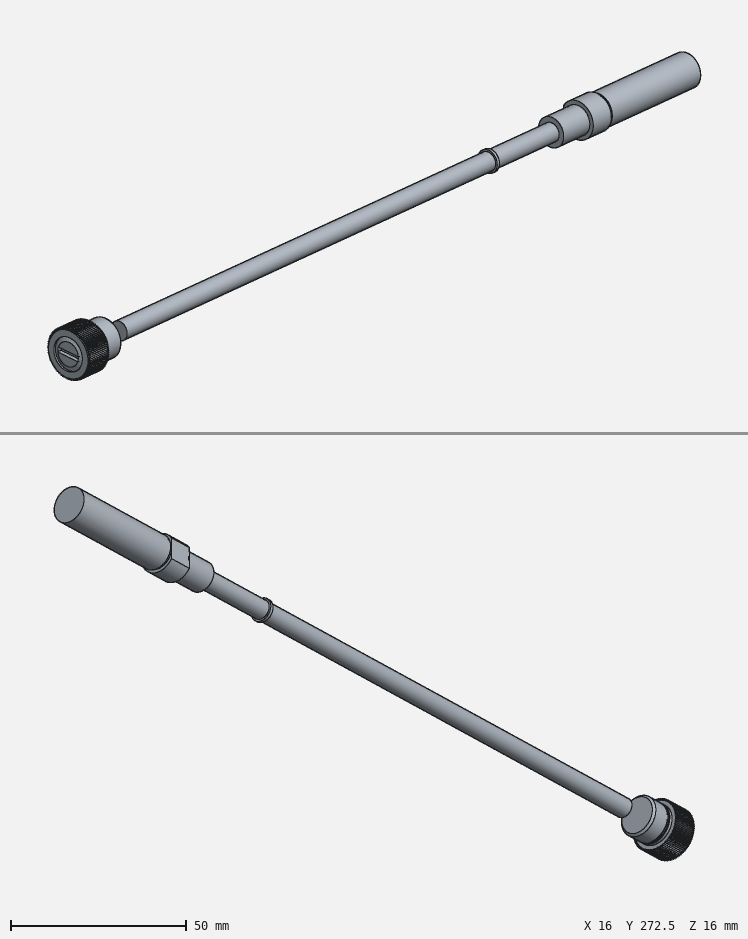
import cadquery as cq
import math

total_length = 272.5

handle_radius = 5.5
handle_length = 39.0
nut_radius = 6.0
nut_length = 8.0
nut_flat_distance = 5.02
nut_neck_radius = 5.0
nut_neck_length = 1.0
sleeve_radius = 4.7
sleeve_length = 11.5

handle_start = total_length - handle_length
nut_neck_start = handle_start - nut_neck_length
nut_start = nut_neck_start - nut_length
sleeve_start = nut_start - sleeve_length

rod_radius = 3.0
rod_start = 22.5
ring_radius = 3.6
ring_width = 1.0
ring_start = 185.0

knob_radius = 8.0
tooth_count = 90
tooth_depth = 0.5
rim_radius = 7.4
rim_length = 0.5
knob_length = 8.5
hub_radius = 6.3
hub_length = 1.0
hub_neck_radius = 6.0
hub_neck_length = 0.8

hub_neck_start = knob_length + hub_length
nose_start = hub_neck_start + hub_neck_length

nose_radius = hub_radius
nose_length = 6.2
nose_chamfer = 0.7

insert_radius = 5.3
insert_length = 3.0
insert_face_radius = 3.8
insert_bevel_depth = 0.7
slot_width = 1.6
slot_depth = 1.5
slot_tilt = 8.0
slot_length = 2 * insert_face_radius


def plane_at(y):
    """Plane across the axis at y, facing +Y, with its local X pointing along +Z."""
    return cq.Workplane(cq.Plane(origin=(0, y, 0), xDir=(0, 0, 1), normal=(0, 1, 0)))


def disc(radius, y_start, length):
    """Round bar along +Y that starts at y_start."""
    return plane_at(y_start).circle(radius).extrude(length)


def make_nut():
    """Round nut with one flat on its -X side and a short neck next to the handle."""
    body = disc(nut_radius, nut_start, nut_length)
    keep = cq.Workplane("XY").box(
        nut_flat_distance + nut_radius, nut_length, 2 * nut_radius, centered=(False, False, True)
    )
    body = body.intersect(keep.translate((-nut_flat_distance, nut_start, 0)))
    return body.union(disc(nut_neck_radius, nut_neck_start, nut_neck_length))


def make_ring():
    """Thin ring that fits around the rod."""
    return plane_at(ring_start).circle(ring_radius).circle(rod_radius).extrude(ring_width)


def make_nose():
    """Plain round nose, chamfered on the end that faces the rod."""
    return disc(nose_radius, nose_start, nose_length).faces(">Y").chamfer(nose_chamfer)


def knurl_outline():
    """Points of the V teeth: a tip, then a valley half a pitch further on."""
    half_pitch = math.pi / tooth_count
    points = []
    for i in range(2 * tooth_count):
        radius = knob_radius if i % 2 == 0 else knob_radius - tooth_depth
        angle = math.pi / 2 + i * half_pitch
        points.append((radius * math.cos(angle), radius * math.sin(angle)))
    return points


def make_knob():
    """Knurled head with a plain front rim, a hub behind it and a pocket for the insert."""
    head = plane_at(rim_length).polyline(knurl_outline()).close().extrude(knob_length - rim_length)
    rim = disc(rim_radius, 0, rim_length)
    hub = disc(hub_radius, knob_length, hub_length)
    neck = disc(hub_neck_radius, hub_neck_start, hub_neck_length)
    pocket = disc(insert_radius, 0, insert_length)
    return head.union(rim).union(hub).union(neck).cut(pocket)


def make_insert():
    """Round insert with a wide shallow bevel and a slot across its flat front face."""
    half_profile = [
        (0, 0),
        (insert_face_radius, 0),
        (insert_radius, insert_bevel_depth),
        (insert_radius, insert_length),
        (0, insert_length),
    ]
    body = cq.Workplane("XY").polyline(half_profile).close().revolve(360, (0, 0, 0), (0, 1, 0))
    slot = cq.Workplane("XY").box(slot_length, slot_depth, slot_width, centered=(True, False, True))
    return body.cut(slot.rotate((0, 0, 0), (0, 1, 0), slot_tilt))


handle = disc(handle_radius, handle_start, handle_length)
nut = make_nut()
sleeve = disc(sleeve_radius, sleeve_start, sleeve_length)
rod = disc(rod_radius, rod_start, sleeve_start - rod_start)
ring = make_ring()
nose = make_nose()
knob = make_knob()
insert = make_insert()

result = cq.Compound.makeCompound([
    handle.val(),
    nut.val(),
    sleeve.val(),
    rod.val(),
    ring.val(),
    nose.val(),
    knob.val(),
    insert.val(),
])